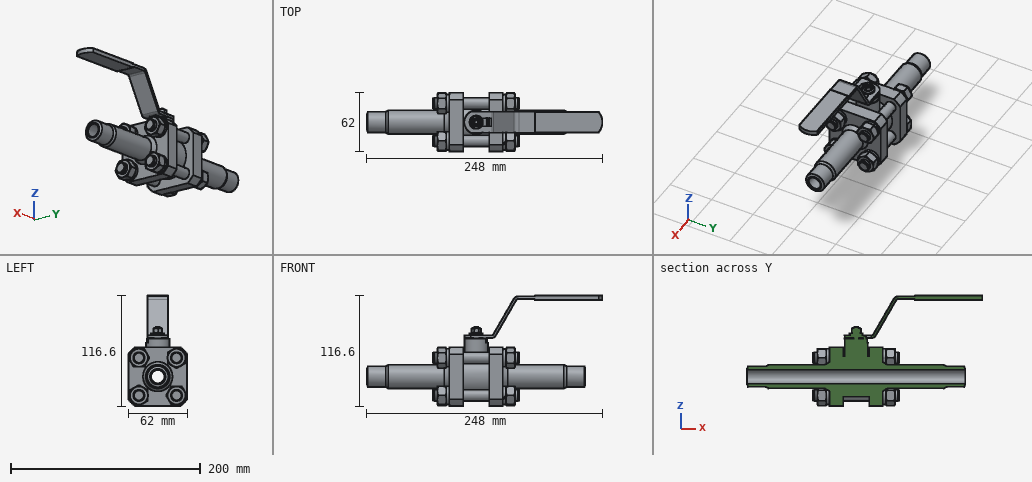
import cadquery as cq
import math

FLANGE_SIDE = 62.0
FLANGE_CORNER_RADIUS = 39.0
FLANGE_INNER_X = 13.6
FLANGE_THICKNESS = 14.6
FLANGE_OUTER_X = FLANGE_INNER_X + FLANGE_THICKNESS
BODY_RADIUS = 21.5

PIPE_HALF_LENGTH = 115.0
PIPE_RADIUS = 12.6
SPIGOT_RADIUS = 11.1
BORE_RADIUS = 7.0
LAND_RADIUS = 8.2
BEVEL_LENGTH = 1.0
SPIGOT_START_X = 95.2
SHOULDER_START_X = 92.4
NECK_RADIUS = 15.6
NECK_END_X = 33.4

STUD_OFFSET = 19.8
STUD_RADIUS = 6.0
STUD_END_X = 45.5
STUD_CHAMFER_LENGTH = 1.6
STUD_CHAMFER_DEPTH = 0.8
WASHER_RADIUS = 9.6
WASHER_THICKNESS = 3.1
WASHER_SLIT_WIDTH = 0.8
WASHER_SLIT_ANGLE = 45.0
WASHER_SLIT_SHIFT = 2.3
NUT_ACROSS_FLATS = 19.0
NUT_HEIGHT = 9.6
NUT_START_X = FLANGE_OUTER_X + WASHER_THICKNESS
NUT_FACE_RADIUS = 9.4

COLLAR_RADIUS = 12.5
COLLAR_TOP_Z = 40.0
STOP_RADIUS = 11.75
STOP_LEDGE_Z = 35.4
STOP_START_ANGLE = -30.0
STOP_END_ANGLE = 120.0

LEVER_WIDTH = 22.0
LEVER_THICKNESS = 3.0
LEVER_LOW_Z = 40.6
LEVER_HIGH_Z = 81.64
LEVER_BEND_X = 17.4
LEVER_SLOPE = 60.0
LOWER_BEND_RADIUS = 2.0
UPPER_BEND_RADIUS = 3.0
LEVER_TIP_RADIUS = COLLAR_RADIUS
LEVER_END_X = 132.96
GRIP_START_X = 61.6
GRIP_WALL = 1.0
GRIP_END_RADIUS = 16.5
GRIP_EDGE_CHAMFER = 0.5

TONGUE_WIDTH = 8.5
TONGUE_BEND_START_X = 7.4
TONGUE_SLOT_END_X = 15.7

STEM_RADIUS = 3.0
STEM_TOP_Z = 52.4
STEM_CHAMFER = 1.1
STEM_WASHER_RADIUS = 7.1
STEM_WASHER_FOOT_RADIUS = 6.5
STEM_WASHER_STEP = 1.4
STEM_WASHER_THICKNESS = 2.1
STEM_NUT_ACROSS_FLATS = 8.8
STEM_NUT_TOP_Z = 51.3
STEM_NUT_TURN = 4.0
STEM_NUT_FACE_RADIUS = 3.5

LEVER_TOP_Z = LEVER_LOW_Z + LEVER_THICKNESS
TONGUE_BEND_RADIUS = LEVER_TOP_Z - COLLAR_TOP_Z
STEM_NUT_BASE_Z = LEVER_TOP_Z + STEM_WASHER_THICKNESS
NUT_CHAMFER_SLOPE = math.tan(math.radians(30))
HEX_CORNER_RATIO = 1 / math.cos(math.radians(30))


def cylinder_x(radius, start, end):
    """Cylinder on the X axis from start to end."""
    return cq.Workplane("YZ").workplane(offset=start).circle(radius).extrude(end - start)


def cylinder_z(radius, start, end):
    """Cylinder on the Z axis from start to end."""
    return cq.Workplane("XY").workplane(offset=start).circle(radius).extrude(end - start)


def hex_nut(across_flats, height, face_radius):
    """Hexagon standing on XY with a corner on +X and both ends chamfered."""
    corner_radius = across_flats / 2 * HEX_CORNER_RATIO
    drop = (corner_radius - face_radius) * NUT_CHAMFER_SLOPE
    prism = cq.Workplane("XY").polygon(6, 2 * corner_radius).extrude(height)
    envelope = (
        cq.Workplane("XZ")
        .polyline([
            (0, 0),
            (face_radius, 0),
            (corner_radius, drop),
            (corner_radius, height - drop),
            (face_radius, height),
            (0, height),
        ])
        .close()
        .revolve(360, (0, 0, 0), (0, 1, 0))
    )
    return prism.intersect(envelope)


def flange():
    """Square flange on the +X side with its corners turned round."""
    plate = (
        cq.Workplane("YZ")
        .workplane(offset=FLANGE_INNER_X)
        .rect(FLANGE_SIDE, FLANGE_SIDE)
        .extrude(FLANGE_THICKNESS)
    )
    return plate.intersect(cylinder_x(FLANGE_CORNER_RADIUS, FLANGE_INNER_X, FLANGE_OUTER_X))


def pipe_end():
    """Pipe on the +X side: conical neck, pipe, shoulder and bevelled weld spigot."""
    return (
        cq.Workplane("XY")
        .polyline([
            (FLANGE_INNER_X, 0),
            (FLANGE_INNER_X, NECK_RADIUS),
            (FLANGE_OUTER_X, NECK_RADIUS),
            (NECK_END_X, PIPE_RADIUS),
            (SHOULDER_START_X, PIPE_RADIUS),
            (SPIGOT_START_X, SPIGOT_RADIUS),
            (PIPE_HALF_LENGTH - BEVEL_LENGTH, SPIGOT_RADIUS),
            (PIPE_HALF_LENGTH, LAND_RADIUS),
            (PIPE_HALF_LENGTH, 0),
        ])
        .close()
        .revolve(360, (0, 0, 0), (1, 0, 0))
    )


def stud():
    """Stud on the X axis with both ends chamfered."""
    tip_radius = STUD_RADIUS - STUD_CHAMFER_DEPTH
    shoulder_x = STUD_END_X - STUD_CHAMFER_LENGTH
    return (
        cq.Workplane("XY")
        .polyline([
            (-STUD_END_X, 0),
            (-STUD_END_X, tip_radius),
            (-shoulder_x, STUD_RADIUS),
            (shoulder_x, STUD_RADIUS),
            (STUD_END_X, tip_radius),
            (STUD_END_X, 0),
        ])
        .close()
        .revolve(360, (0, 0, 0), (1, 0, 0))
    )


def split_washer():
    """Spring washer on the X axis, slit obliquely on its -Y side."""
    ring = cylinder_x(WASHER_RADIUS, FLANGE_OUTER_X, NUT_START_X)
    slit = (
        cq.Workplane("XY")
        .box(4 * WASHER_THICKNESS, WASHER_RADIUS, WASHER_SLIT_WIDTH)
        .rotate((0, 0, 0), (0, 1, 0), -WASHER_SLIT_ANGLE)
        .translate((
            FLANGE_OUTER_X + WASHER_THICKNESS / 2,
            -WASHER_RADIUS / 2 - STUD_RADIUS / 2,
            -WASHER_SLIT_SHIFT,
        ))
    )
    return ring.cut(slit)


def stud_set():
    """Stud at the (-Y, -Z) corner with a washer and nut at each end."""
    nut = (
        hex_nut(NUT_ACROSS_FLATS, NUT_HEIGHT, NUT_FACE_RADIUS)
        .rotate((0, 0, 0), (0, 0, 1), 90)
        .rotate((0, 0, 0), (0, 1, 0), 90)
        .translate((NUT_START_X, 0, 0))
    )
    plain_washer = cylinder_x(WASHER_RADIUS, -NUT_START_X, -FLANGE_OUTER_X)
    assembly = stud().union(split_washer()).union(plain_washer).union(nut).union(nut.mirror("YZ"))
    return assembly.translate((0, -STUD_OFFSET, -STUD_OFFSET))


def collar():
    """Stem collar, turned down over one sector to form the lever stops."""
    reach = 2 * COLLAR_RADIUS
    sector_points = [(0, 0)]
    for fraction in (0, 0.5, 1):
        angle = math.radians(STOP_START_ANGLE + fraction * (STOP_END_ANGLE - STOP_START_ANGLE))
        sector_points.append((reach * math.cos(angle), reach * math.sin(angle)))
    sector = (
        cq.Workplane("XY")
        .workplane(offset=STOP_LEDGE_Z)
        .polyline(sector_points)
        .close()
        .extrude(COLLAR_TOP_Z - STOP_LEDGE_Z)
    )
    step = sector.cut(cylinder_z(STOP_RADIUS, STOP_LEDGE_Z, COLLAR_TOP_Z))
    return cylinder_z(COLLAR_RADIUS, 0, COLLAR_TOP_Z).cut(step)


def lever_strip():
    """Cranked strip with rounded mounting end, before the tongue is cut."""
    slope = math.radians(LEVER_SLOPE)
    high_top_z = LEVER_HIGH_Z + LEVER_THICKNESS
    upper_bend_x = LEVER_BEND_X + (high_top_z - LEVER_TOP_Z) / math.tan(slope)
    face_shift = LEVER_THICKNESS * math.tan(slope / 2)
    strip = (
        cq.Workplane("XZ")
        .polyline([
            (-LEVER_TIP_RADIUS, LEVER_LOW_Z),
            (LEVER_BEND_X + face_shift, LEVER_LOW_Z),
            (upper_bend_x + face_shift, LEVER_HIGH_Z),
            (LEVER_END_X, LEVER_HIGH_Z),
            (LEVER_END_X, high_top_z),
            (upper_bend_x, high_top_z),
            (LEVER_BEND_X, LEVER_TOP_Z),
            (-LEVER_TIP_RADIUS, LEVER_TOP_Z),
        ])
        .close()
        .extrude(LEVER_WIDTH / 2, both=True)
    )
    corner_bends = (
        (LEVER_BEND_X, LEVER_TOP_Z, LOWER_BEND_RADIUS),
        (LEVER_BEND_X + face_shift, LEVER_LOW_Z, LOWER_BEND_RADIUS + LEVER_THICKNESS),
        (upper_bend_x, high_top_z, UPPER_BEND_RADIUS + LEVER_THICKNESS),
        (upper_bend_x + face_shift, LEVER_HIGH_Z, UPPER_BEND_RADIUS),
    )
    for x, z, radius in corner_bends:
        strip = strip.edges(cq.selectors.NearestToPointSelector((x, 0, z))).fillet(radius)
    tip = cylinder_z(LEVER_TIP_RADIUS, LEVER_LOW_Z, LEVER_TOP_Z)
    outside_tip = (
        cq.Workplane("XY")
        .workplane(offset=LEVER_LOW_Z)
        .center(-LEVER_TIP_RADIUS / 2, 0)
        .rect(LEVER_TIP_RADIUS, LEVER_WIDTH)
        .extrude(LEVER_THICKNESS)
        .cut(tip)
    )
    return strip.cut(outside_tip)


def tongue():
    """Quarter-round bend of the stop tongue down to the top of the collar."""
    bend = (
        cq.Workplane("XZ")
        .moveTo(TONGUE_BEND_START_X, COLLAR_TOP_Z)
        .lineTo(TONGUE_BEND_START_X + TONGUE_BEND_RADIUS, COLLAR_TOP_Z)
        .radiusArc((TONGUE_BEND_START_X, LEVER_TOP_Z), -TONGUE_BEND_RADIUS)
        .close()
    )
    return bend.extrude(TONGUE_WIDTH / 2, both=True)


def tongue_slot():
    """Window left in the lever where the tongue is bent out."""
    return (
        cq.Workplane("XY")
        .workplane(offset=LEVER_LOW_Z)
        .center((TONGUE_BEND_START_X + TONGUE_SLOT_END_X) / 2, 0)
        .rect(TONGUE_SLOT_END_X - TONGUE_BEND_START_X, TONGUE_WIDTH)
        .extrude(LEVER_THICKNESS)
    )


def handle_outline(start_x):
    """Plan of the handle: straight sides closed by a shallow end arc."""
    half_width = LEVER_WIDTH / 2
    sagitta = GRIP_END_RADIUS - math.sqrt(GRIP_END_RADIUS**2 - half_width**2)
    return (
        cq.Workplane("XY")
        .moveTo(start_x, -half_width)
        .lineTo(LEVER_END_X - sagitta, -half_width)
        .threePointArc((LEVER_END_X, 0), (LEVER_END_X - sagitta, half_width))
        .lineTo(start_x, half_width)
        .close()
    )


def grip():
    """Sleeve on the handle end of the lever."""
    height = LEVER_THICKNESS + 2 * GRIP_WALL
    block = handle_outline(GRIP_START_X).extrude(height)
    block = block.faces(">Z").edges("|X or <X").chamfer(GRIP_EDGE_CHAMFER)
    return block.translate((0, 0, LEVER_HIGH_Z - GRIP_WALL))


def lever():
    """Lever with stop tongue and grip."""
    plan = handle_outline(-LEVER_TIP_RADIUS).extrude(LEVER_HIGH_Z + LEVER_THICKNESS)
    strip = lever_strip().intersect(plan)
    return strip.cut(tongue_slot()).union(tongue()).union(grip())


def stem():
    """Stem from the top of the body through the lever, with its washer and nut."""
    shaft = cylinder_z(STEM_RADIUS, BODY_RADIUS, STEM_TOP_Z).faces(">Z").chamfer(STEM_CHAMFER)
    step_z = LEVER_TOP_Z + STEM_WASHER_STEP
    foot = cylinder_z(STEM_WASHER_FOOT_RADIUS, LEVER_TOP_Z, step_z)
    rim = cylinder_z(STEM_WASHER_RADIUS, step_z, STEM_NUT_BASE_Z)
    nut = (
        hex_nut(STEM_NUT_ACROSS_FLATS, STEM_NUT_TOP_Z - STEM_NUT_BASE_Z, STEM_NUT_FACE_RADIUS)
        .rotate((0, 0, 0), (0, 0, 1), STEM_NUT_TURN)
        .translate((0, 0, STEM_NUT_BASE_Z))
    )
    return shaft.union(foot).union(rim).union(nut)


valve = cylinder_x(BODY_RADIUS, -FLANGE_INNER_X, FLANGE_INNER_X).union(collar())
for end in (flange(), pipe_end()):
    valve = valve.union(end).union(end.mirror("YZ"))

corner_studs = stud_set()
for quarter in range(4):
    valve = valve.union(corner_studs.rotate((0, 0, 0), (1, 0, 0), 90 * quarter))

valve = valve.cut(cylinder_x(BORE_RADIUS, -PIPE_HALF_LENGTH, PIPE_HALF_LENGTH))

result = valve.union(lever()).union(stem())